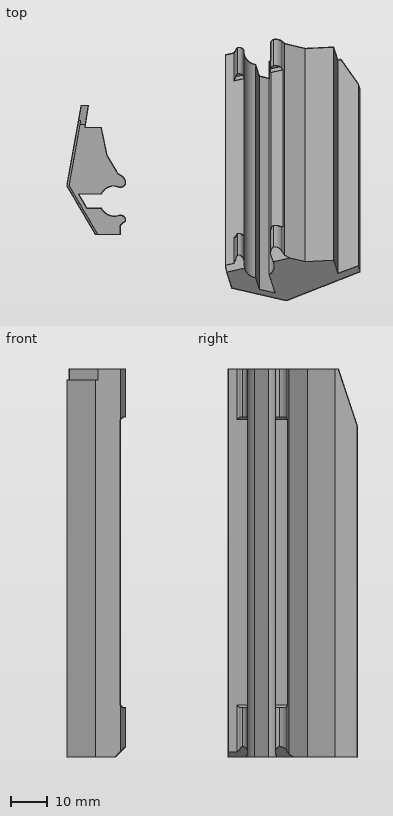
import cadquery as cq

height = 105.0
depth = 35.0
width = 16.0

bend_y = 13.2
front_left_x = 7.8
front_right_x = 14.5
wall_end_x = 3.9
wall_end_width = 2.0

rib_back_y = 29.0
rib_left_x = 4.9
rib_right_x = 9.3
rib_waist = (10.9, 21.4)

slot_front_y = 7.1
slot_back_y = 10.9
slot_mouth_x = 9.3
slot_front_x = 5.5
slot_back_x = 3.3

front_lip_knee = (15.2, 3.2)
front_lip_tip = (width, 3.9)
front_lip_root = (14.3, 5.2)
rear_lip_root = (14.1, 12.8)
rear_lip_tip = (width, 13.9)
rear_lip_shoulder = (14.9, 15.9)
rear_lip_back = (13.9, 16.5)
lip_base_y = 2.4

front_lip_outer_mid = (15.6, 3.5)
front_lip_inner_mid = (15.5, 4.8)
front_hollow_mid = (11.2, 5.4)
rear_hollow_mid = (11.2, 12.8)
rear_lip_inner_mid = (15.3, 13.0)
rear_lip_outer_mid = (15.6, 15.0)

rebate_height = 2.9
rebate_shift_x = 0.6

slope_top_y = 29.8
slope_drop = 15.4

gap_top_z = height - 13.0
gap_bottom_z = 13.3
gap_chamfer = 0.7
foot_start_x = 13.1
foot_chamfer = width - foot_start_x


def make_profile():
    """Extrude the plan outline over the full height."""
    return (
        cq.Workplane("XY")
        .moveTo(front_left_x, 0)
        .lineTo(front_right_x, 0)
        .lineTo(front_right_x, lip_base_y)
        .lineTo(*front_lip_knee)
        .threePointArc(front_lip_outer_mid, front_lip_tip)
        .threePointArc(front_lip_inner_mid, front_lip_root)
        .threePointArc(front_hollow_mid, (slot_mouth_x, slot_front_y))
        .lineTo(slot_front_x, slot_front_y)
        .lineTo(slot_back_x, slot_back_y)
        .lineTo(slot_mouth_x, slot_back_y)
        .threePointArc(rear_hollow_mid, rear_lip_root)
        .threePointArc(rear_lip_inner_mid, rear_lip_tip)
        .threePointArc(rear_lip_outer_mid, rear_lip_shoulder)
        .lineTo(*rear_lip_back)
        .lineTo(*rib_waist)
        .lineTo(rib_right_x, rib_back_y)
        .lineTo(rib_left_x, rib_back_y)
        .lineTo(wall_end_x + wall_end_width, depth)
        .lineTo(wall_end_x, depth)
        .lineTo(0, bend_y)
        .close()
        .extrude(height)
    )


def make_rebate():
    """Thin strip removed from both outer faces at the top."""
    return (
        cq.Workplane("XY", origin=(0, 0, height - rebate_height))
        .polyline([
            (front_left_x, 0),
            (front_left_x + rebate_shift_x, 0),
            (rebate_shift_x, bend_y),
            (wall_end_x + rebate_shift_x, depth),
            (wall_end_x, depth),
            (0, bend_y),
        ])
        .close()
        .extrude(rebate_height)
    )


def make_corner_slope():
    """Triangular wedge removed from the upper rear corner."""
    return (
        cq.Workplane("YZ")
        .polyline([(slope_top_y, height), (depth, height), (depth, height - slope_drop)])
        .close()
        .extrude(width)
    )


def make_lip_gap():
    """Gap that leaves the lips standing only near the two ends."""
    chamfer_x = front_right_x + gap_chamfer
    return (
        cq.Workplane("XZ")
        .polyline([
            (front_right_x, gap_bottom_z + gap_chamfer),
            (chamfer_x, gap_bottom_z),
            (width, gap_bottom_z),
            (width, gap_top_z),
            (chamfer_x, gap_top_z),
            (front_right_x, gap_top_z - gap_chamfer),
        ])
        .close()
        .extrude(-depth)
    )


def make_foot_chamfer():
    """Bevel under the jaws at the lower end."""
    return (
        cq.Workplane("XZ")
        .polyline([(foot_start_x, 0), (width, 0), (width, foot_chamfer)])
        .close()
        .extrude(-depth)
    )


result = (
    make_profile()
    .cut(make_rebate())
    .cut(make_corner_slope())
    .cut(make_lip_gap())
    .cut(make_foot_chamfer())
)